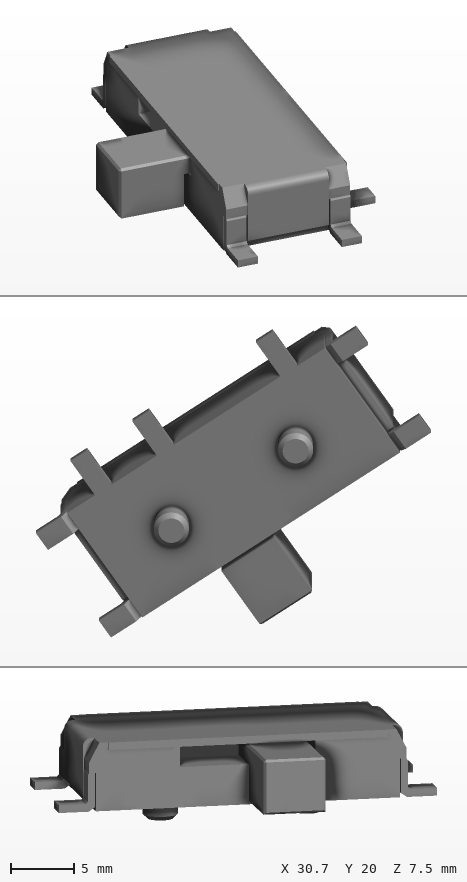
import cadquery as cq

BASE_LENGTH = 24.7
BODY_DEPTH = 10.63
BASE_HEIGHT = 3.13
BODY_TOP = 5.55
COVER_LENGTH = 25.8
CORNER_CHAMFER_X = 0.83
CORNER_CHAMFER_Z = 1.57

END_LENGTH = 25.98
END_TOP_DEPTH = 6.95
END_RADIUS = 0.65
END_WALL_BOTTOM = 0.83

LIP_LENGTH = 22.73
LIP_OVERHANG = 0.1
LIP_HEIGHT = 0.6

FOOT_SPAN = 30.7
LEG_WIDTH = 1.72
LEG_GAP = 0.1
SHEET_THICKNESS = 0.65
SHOULDER_DROP = 0.15
BEND_INSET = 0.18
OUTER_BEND_RUN = 0.5
OUTER_BEND_RISE = 0.35

TERMINAL_XS = [-8.9, 2.95, 8.88]
TERMINAL_WIDTH = 1.6
TERMINAL_TIP_Y = 8.78

PEG_OFFSET = 5.95
PEG_DIAMETER = 2.8
PEG_LENGTH = 1.95
PEG_CHAMFER = 0.37

SLOT_LENGTH = 11.0
SLOT_FLOOR = 3.3
SLOT_DEPTH = 3.38

KNOB_CENTER_X = 2.52
KNOB_WIDTH = 5.05
KNOB_BOTTOM = 0.37
KNOB_TOP = 4.82
KNOB_FRONT_Y = -11.27
KNOB_GAP = 0.43
KNOB_CHAMFER = 0.18

FRONT_Y = -BODY_DEPTH / 2
BACK_Y = BODY_DEPTH / 2
LIP_BOTTOM = BODY_TOP - LIP_HEIGHT
SLOT_BACK_Y = FRONT_Y + SLOT_DEPTH
KNOB_BACK_Y = FRONT_Y - KNOB_GAP


def block(x_range, y_range, z_range):
    """Box spanning the given (low, high) limits."""
    low = cq.Vector(x_range[0], y_range[0], z_range[0])
    high = cq.Vector(x_range[1], y_range[1], z_range[1])
    size = high - low
    return cq.Workplane("XY").box(size.x, size.y, size.z, centered=False).translate(low)


def centered_block(length, depth, bottom, top):
    """Box centred on X and Y between two heights."""
    return block((-length / 2, length / 2), (-depth / 2, depth / 2), (bottom, top))


def make_cover():
    """Upper block with steep chamfers along its two ends."""
    half = COVER_LENGTH / 2
    return (
        cq.Workplane("XZ")
        .moveTo(-half, BASE_HEIGHT)
        .lineTo(half, BASE_HEIGHT)
        .lineTo(half, BODY_TOP - CORNER_CHAMFER_Z)
        .lineTo(half - CORNER_CHAMFER_X, BODY_TOP)
        .lineTo(-half + CORNER_CHAMFER_X, BODY_TOP)
        .lineTo(-half, BODY_TOP - CORNER_CHAMFER_Z)
        .close()
        .extrude(BODY_DEPTH / 2, both=True)
    )


def make_end_walls():
    """Full-length band with rounded top ends, reaching down between the legs."""
    band = centered_block(END_LENGTH, END_TOP_DEPTH, END_WALL_BOTTOM, BODY_TOP)
    return band.edges(">Z and |Y").fillet(END_RADIUS)


def make_leg():
    """Sheet leg at the +X, +Y corner, clear of the base and bent outward into a flat foot."""
    inner = BASE_LENGTH / 2 + LEG_GAP
    outer = END_LENGTH / 2
    return (
        cq.Workplane("XZ", origin=(0, BACK_Y, 0))
        .moveTo(inner, BASE_HEIGHT)
        .lineTo(COVER_LENGTH / 2, BASE_HEIGHT)
        .lineTo(outer, BASE_HEIGHT - SHOULDER_DROP)
        .lineTo(outer, SHEET_THICKNESS + BEND_INSET)
        .lineTo(outer + BEND_INSET, SHEET_THICKNESS)
        .lineTo(FOOT_SPAN / 2, SHEET_THICKNESS)
        .lineTo(FOOT_SPAN / 2, 0)
        .lineTo(inner + OUTER_BEND_RUN, 0)
        .lineTo(inner, OUTER_BEND_RISE)
        .close()
        .extrude(LEG_WIDTH)
    )


def make_legs():
    right_back = make_leg()
    right_pair = right_back.union(right_back.mirror("XZ"))
    return right_pair.union(right_pair.mirror("YZ"))


def make_terminal(x):
    """Flat contact strip projecting from the back face."""
    half = TERMINAL_WIDTH / 2
    return block((x - half, x + half), (0, TERMINAL_TIP_Y), (0, SHEET_THICKNESS))


def make_peg(x):
    """Round locating peg with a chamfered tip."""
    peg = cq.Workplane("XY").center(x, 0).circle(PEG_DIAMETER / 2).extrude(-PEG_LENGTH)
    return peg.faces("<Z").chamfer(PEG_CHAMFER)


def make_slot():
    """Pocket cut into the front face below the lip."""
    half = SLOT_LENGTH / 2
    return block((-half, half), (FRONT_Y, SLOT_BACK_Y), (SLOT_FLOOR, LIP_BOTTOM))


def make_housing():
    housing = centered_block(BASE_LENGTH, BODY_DEPTH, 0, BASE_HEIGHT)
    housing = housing.union(make_cover())
    housing = housing.union(make_end_walls())
    housing = housing.union(make_legs())
    lip_depth = BODY_DEPTH + 2 * LIP_OVERHANG
    housing = housing.union(centered_block(LIP_LENGTH, lip_depth, LIP_BOTTOM, BODY_TOP))
    for x in TERMINAL_XS:
        housing = housing.union(make_terminal(x))
    for x in (-PEG_OFFSET, PEG_OFFSET):
        housing = housing.union(make_peg(x))
    return housing.cut(make_slot())


def make_slider():
    """Finger knob on a neck that rests on the slot floor and meets its back wall."""
    x_range = (KNOB_CENTER_X - KNOB_WIDTH / 2, KNOB_CENTER_X + KNOB_WIDTH / 2)
    knob = block(x_range, (KNOB_FRONT_Y, KNOB_BACK_Y), (KNOB_BOTTOM, KNOB_TOP))
    neck = block(x_range, (KNOB_BACK_Y, SLOT_BACK_Y), (SLOT_FLOOR, KNOB_TOP))
    slider = knob.union(neck)
    return slider.faces("<Y or >Z").edges("<Y or (>Z and |Y)").chamfer(KNOB_CHAMFER)


housing = make_housing()
slider = make_slider()

result = cq.Compound.makeCompound([housing.solids().val(), slider.solids().val()])